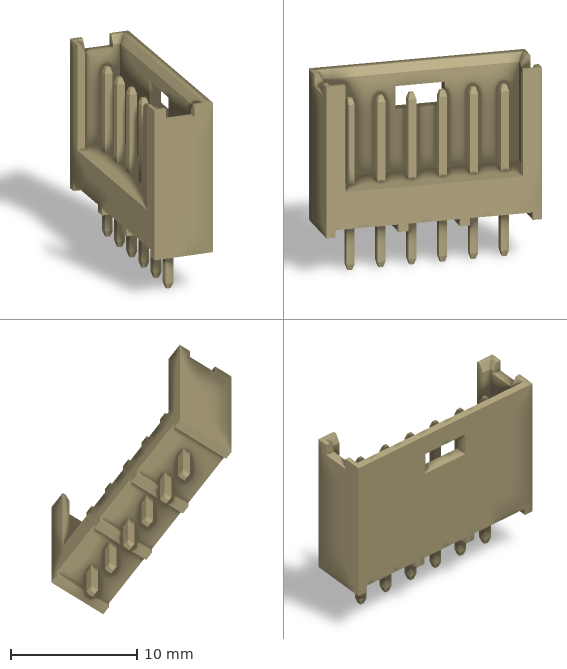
import cadquery as cq


length = 17.8
depth = 5.0
overall_height = 16.1
housing_height = 12.62

pin_count = 6
pin_pitch = 2.55
pin_width = 0.65
pin_tip_width = 0.35
pin_tip_height = 0.5
pin_to_front = 2.17
pin_below_top = 1.8

end_wall = 0.75
back_wall = 1.0
front_wall = 0.68
cavity_depth = 8.9
lead_in_width = 0.37
lead_in_height = 0.7

front_opening_length = 14.67
window_length = 4.05
window_height = 1.94
notch_to_front = 0.98
notch_width = 2.42
notch_depth = 1.0

foot_height = 0.62
end_foot_length = 0.77
middle_foot_length = 0.82

front_y = -pin_to_front
back_y = front_y + depth
cavity_length = length - 2 * end_wall
cavity_width = depth - front_wall - back_wall
cavity_center_y = front_y + front_wall + cavity_width / 2
floor_z = housing_height - cavity_depth
pin_bottom_z = housing_height - overall_height
pin_top_z = housing_height - pin_below_top


def block(size_x, y_start, y_end, z_start, z_end, center_x=0):
    """Box centred on center_x, between the given Y and Z limits."""
    return cq.Workplane("XY").box(
        size_x, y_end - y_start, z_end - z_start, centered=(True, False, False)
    ).translate((center_x, y_start, z_start))


def make_cavity():
    """Pocket open at the top, widened at the rim by a sloped lead-in."""
    pocket = block(
        cavity_length, front_y + front_wall, back_y - back_wall, floor_z, housing_height
    )
    lead_in = (
        cq.Workplane("XY", origin=(0, cavity_center_y, housing_height - lead_in_height))
        .rect(cavity_length, cavity_width)
        .workplane(offset=lead_in_height)
        .rect(cavity_length + 2 * lead_in_width, cavity_width + 2 * lead_in_width)
        .loft(ruled=True)
    )
    return pocket.union(lead_in)


def make_foot_gaps():
    """Recess under the housing, interrupted by the two middle feet."""
    gaps = block(length - 2 * end_foot_length, front_y, back_y, 0, foot_height)
    for foot_x in (-pin_pitch, pin_pitch):
        gaps = gaps.cut(block(middle_foot_length, front_y, back_y, 0, foot_height, foot_x))
    return gaps


def make_housing():
    housing = block(length, front_y, back_y, 0, housing_height)
    front_opening = block(
        front_opening_length, front_y, front_y + front_wall, floor_z, housing_height
    )
    window = block(
        window_length, back_y - back_wall, back_y, pin_top_z - window_height, pin_top_z
    )
    notch_y = front_y + notch_to_front
    end_notches = block(
        length, notch_y, notch_y + notch_width, housing_height - notch_depth, housing_height
    )
    return (
        housing.cut(make_cavity())
        .cut(front_opening)
        .cut(window)
        .cut(end_notches)
        .cut(make_foot_gaps())
    )


def make_pin(center_x):
    """Square pin with a tapered tip at each end."""
    shank_bottom_z = pin_bottom_z + pin_tip_height
    shank_top_z = pin_top_z - pin_tip_height
    return (
        cq.Workplane("XY", origin=(center_x, 0, pin_bottom_z))
        .rect(pin_tip_width, pin_tip_width)
        .workplane(offset=pin_tip_height)
        .rect(pin_width, pin_width)
        .workplane(offset=shank_top_z - shank_bottom_z)
        .rect(pin_width, pin_width)
        .workplane(offset=pin_tip_height)
        .rect(pin_tip_width, pin_tip_width)
        .loft(ruled=True)
    )


result = make_housing()
for pin_index in range(pin_count):
    result = result.union(make_pin((pin_index - (pin_count - 1) / 2) * pin_pitch))